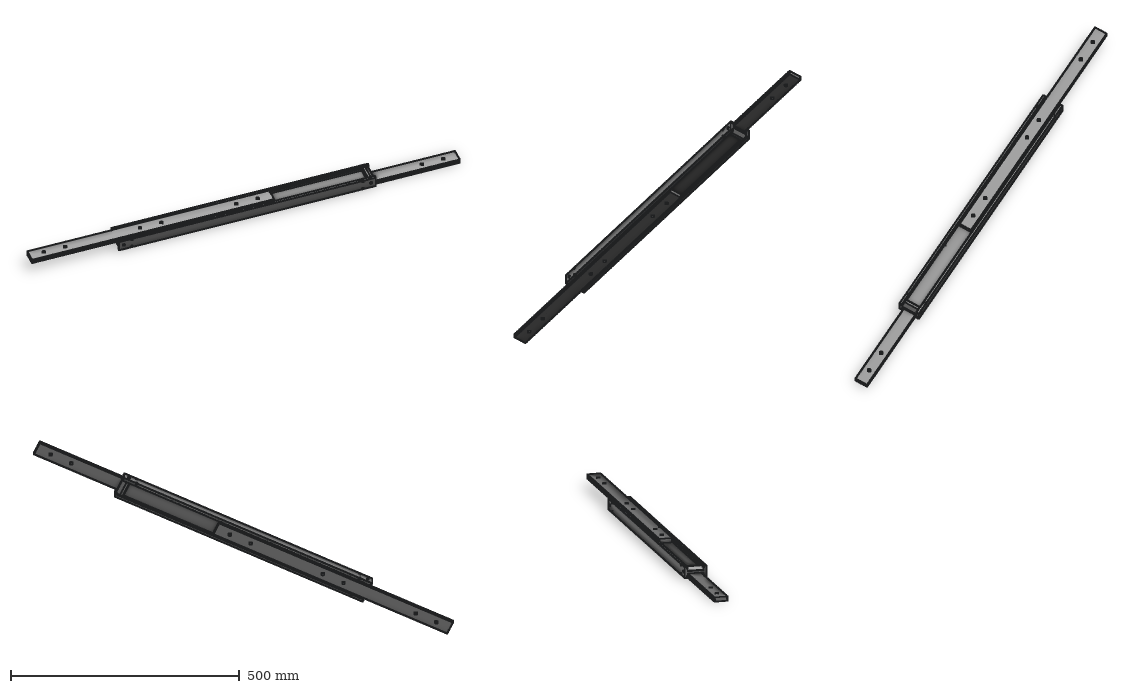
import cadquery as cq

total_length = 1000.0
total_height = 30.0

channel_length = 600.0
channel_width = 50.0
channel_height = 25.0
channel_edge_chamfer = 0.5
web_thickness = 5.0
bay_width = 36.0
channel_race_radius = 2.0

bar_length = 566.0
bar_width = 30.0
bar_thickness = 10.0
bar_race_radius = 1.5
bar_hole_diameter = 6.5
bar_hole_offsets = [25.0, 200.0, 250.0]

stop_length = 17.0
stop_top_length = 8.0
stop_height = 11.0
stop_tip_height = 4.0
stop_edge_chamfer = 2.0

pin_hole_diameter = 5.0
pin_hole_inset = 11.0
race_hole_diameter = 4.0
race_hole_inset = 30.0

channel_end = channel_length / 2
web_face = web_thickness / 2
bay_side = bay_width / 2
bar_height = (total_height - bar_thickness) / 2
bar_middle_y = (bar_length - total_length) / 2


def turned(body):
    """Half a turn about X: to the other face of the web and the other end of the channel."""
    return body.rotate((0, 0, 0), (1, 0, 0), 180)


def race_grooves(side_x, height, radius, length):
    """Pair of round grooves along Y, centred on the planes X = -side_x and X = side_x."""
    return (
        cq.Workplane("XZ")
        .pushPoints([(-side_x, height), (side_x, height)])
        .circle(radius)
        .extrude(length / 2, both=True)
    )


def make_bay():
    """Space above the web, with a race groove along each side."""
    bay_depth = channel_height / 2 - web_face
    bay = (
        cq.Workplane("XY", origin=(0, 0, web_face))
        .box(bay_width, channel_length, bay_depth, centered=(True, True, False))
    )
    return bay.union(race_grooves(bay_side, bar_height, channel_race_radius, channel_length))


def make_wall_holes():
    """Cross holes near both channel ends: one level with the web and one into each race groove."""
    pin_y = channel_end - pin_hole_inset
    race_y = channel_end - race_hole_inset
    pin_holes = (
        cq.Workplane("YZ")
        .pushPoints([(-pin_y, 0), (pin_y, 0)])
        .circle(pin_hole_diameter / 2)
        .extrude(channel_width / 2, both=True)
    )
    race_holes = (
        cq.Workplane("YZ")
        .rect(2 * race_y, 2 * bar_height, forConstruction=True)
        .vertices()
        .circle(race_hole_diameter / 2)
        .extrude(channel_width / 2, both=True)
    )
    between_walls = cq.Workplane("XY").box(bay_width, channel_length, channel_height)
    return pin_holes.union(race_holes).cut(between_walls)


def make_channel():
    block = (
        cq.Workplane("XY")
        .box(channel_width, channel_length, channel_height)
        .edges("|Y")
        .chamfer(channel_edge_chamfer)
    )
    bay = make_bay()
    return block.cut(bay).cut(turned(bay)).cut(make_wall_holes())


def make_bar():
    """Slide bar in the upper bay, reaching out past the -Y end of the channel."""
    bar = cq.Workplane("XY").box(bar_width, bar_length, bar_thickness)
    grooves = race_grooves(bar_width / 2, 0, bar_race_radius, bar_length)
    hole_places = [(0, side * offset) for side in (-1, 1) for offset in bar_hole_offsets]
    holes = (
        cq.Workplane("XY")
        .pushPoints(hole_places)
        .circle(bar_hole_diameter / 2)
        .extrude(bar_thickness, both=True)
    )
    return bar.cut(grooves).cut(holes).translate((0, bar_middle_y, bar_height))


def make_stop():
    """Block across the upper bay at the +Y end, sloping down towards that end."""
    inner_end = channel_end - stop_length
    slope_start = inner_end + stop_top_length
    return (
        cq.Workplane("YZ")
        .moveTo(inner_end, web_face)
        .lineTo(channel_end, web_face)
        .lineTo(channel_end, stop_tip_height)
        .lineTo(slope_start, stop_height)
        .lineTo(inner_end + stop_edge_chamfer, stop_height)
        .lineTo(inner_end, stop_height - stop_edge_chamfer)
        .close()
        .extrude(bay_side, both=True)
    )


channel = make_channel()

bars_and_stops = []
for upper_body in (make_bar(), make_stop()):
    bars_and_stops += [upper_body.val(), turned(upper_body).val()]

result = cq.Compound.makeCompound([channel.val(), *bars_and_stops])